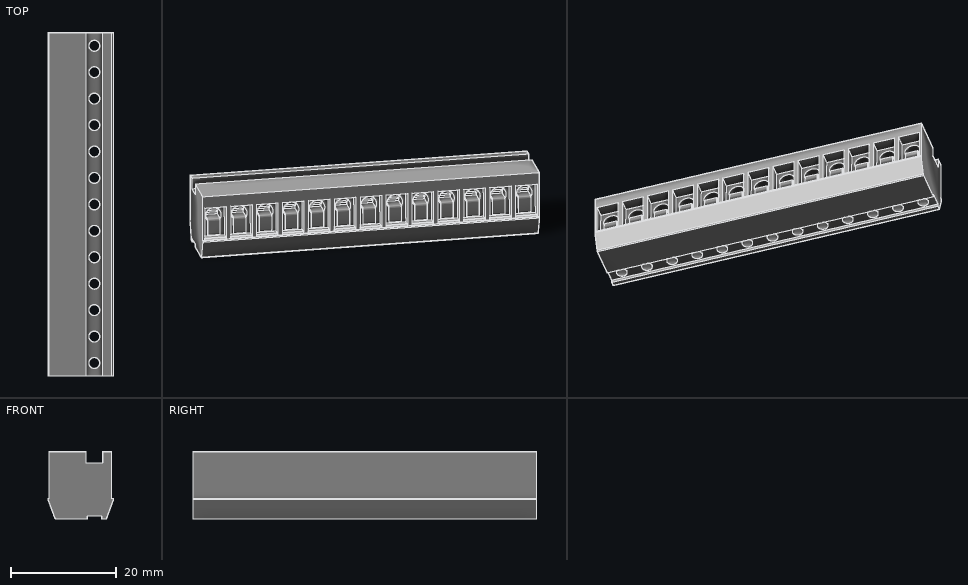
import cadquery as cq
import math

LENGTH = 65.0
WIDTH = 12.4
HEIGHT = 12.8
POLES = 13
PITCH = LENGTH / POLES

LEFT_WALL_X = 0.2
RIGHT_WALL_X = WIDTH - 0.4
SHOULDER_Z = 3.95
LIP_Z = SHOULDER_Z - 0.25
BASE_LEFT_X = 1.5
BASE_BEVEL = 0.2
BASE_RIGHT_X = 11.05
GROOVE_LEFT_X = 7.2
GROOVE_RIGHT_X = 10.35
GROOVE_FLOOR_Z = HEIGHT - 2.15
CHANNEL_LEFT_X = 7.5
CHANNEL_RIGHT_X = 10.15
CHANNEL_DEPTH = 0.6

SCREW_HOLE_DIAMETER = 2.0
SCREW_X = (GROOVE_LEFT_X + GROOVE_RIGHT_X) / 2

WINDOW_WIDTH = 4.15
WINDOW_TOP_Z = 10.45
BACK_WALL_TOP_X = 2.4
BACK_WALL_TILT = 3.0
BACK_WALL_FOOT_Z = 4.55
SILL_END_X = 1.05
SILL_Z = SHOULDER_Z + 0.03
WINDOW_FLOOR_Z = SHOULDER_Z + 0.1

WIRE_HOLE_DIAMETER = 3.0
WIRE_HOLE_Z = 8.1
WIRE_HOLE_DEPTH = 3.25

PLATE_WIDTH = 2.4
PLATE_FRONT_X = 1.75
PLATE_BOTTOM_Z = 4.2
PLATE_TOP_Z = 7.55
PLATE_EDGE_RADIUS = 0.4
PLATE_REAR_X = 5.85
STEP_X = 4.55
STEP_HEIGHT = 0.4


def prism(points, width, center_y):
    """Solid from an XZ outline, centred on center_y."""
    blank = cq.Workplane("XZ").polyline(points).close().extrude(width / 2, both=True)
    return blank.translate((0, center_y, 0))


def back_wall_x(z):
    """X of the leaning back wall at height z."""
    return BACK_WALL_TOP_X - (WINDOW_TOP_Z - z) * math.tan(math.radians(BACK_WALL_TILT))


def body():
    outline = [
        (BASE_LEFT_X, 0),
        (CHANNEL_LEFT_X, 0),
        (CHANNEL_LEFT_X, CHANNEL_DEPTH),
        (CHANNEL_RIGHT_X, CHANNEL_DEPTH),
        (CHANNEL_RIGHT_X, 0),
        (BASE_RIGHT_X, 0),
        (WIDTH, LIP_Z),
        (WIDTH, SHOULDER_Z),
        (RIGHT_WALL_X, SHOULDER_Z),
        (RIGHT_WALL_X, HEIGHT),
        (GROOVE_RIGHT_X, HEIGHT),
        (GROOVE_RIGHT_X, GROOVE_FLOOR_Z),
        (GROOVE_LEFT_X, GROOVE_FLOOR_Z),
        (GROOVE_LEFT_X, HEIGHT),
        (LEFT_WALL_X, HEIGHT),
        (LEFT_WALL_X, SHOULDER_Z),
        (0, SHOULDER_Z),
        (0, LIP_Z),
        (BASE_LEFT_X - BASE_BEVEL, BASE_BEVEL),
    ]
    return prism(outline, LENGTH, LENGTH / 2)


def window(y):
    foot_x = back_wall_x(BACK_WALL_FOOT_Z)
    outline = [
        (0, SILL_Z),
        (SILL_END_X, SILL_Z),
        (SILL_END_X, WINDOW_FLOOR_Z),
        (foot_x, WINDOW_FLOOR_Z),
        (foot_x, BACK_WALL_FOOT_Z),
        (BACK_WALL_TOP_X, WINDOW_TOP_Z),
        (0, WINDOW_TOP_Z),
    ]
    return prism(outline, WINDOW_WIDTH, y)


def wire_hole(y):
    tilt = math.radians(BACK_WALL_TILT)
    mouth = cq.Plane(
        origin=(back_wall_x(WIRE_HOLE_Z), y, WIRE_HOLE_Z),
        xDir=(0, 1, 0),
        normal=(math.cos(tilt), 0, -math.sin(tilt)),
    )
    overlap = WIRE_HOLE_DIAMETER / 4
    barrel = cq.Workplane(mouth).workplane(offset=-overlap).circle(WIRE_HOLE_DIAMETER / 2)
    return barrel.extrude(overlap + WIRE_HOLE_DEPTH)


def contact_plate(y):
    outline = [
        (PLATE_FRONT_X, PLATE_BOTTOM_Z),
        (PLATE_REAR_X, PLATE_BOTTOM_Z),
        (PLATE_REAR_X, PLATE_TOP_Z + STEP_HEIGHT),
        (STEP_X, PLATE_TOP_Z + STEP_HEIGHT),
        (STEP_X, PLATE_TOP_Z),
        (PLATE_FRONT_X, PLATE_TOP_Z),
    ]
    plate = prism(outline, PLATE_WIDTH, y)
    return plate.faces("<X").edges("|Y").fillet(PLATE_EDGE_RADIUS)


def screw_hole(y):
    return cq.Workplane("XY", origin=(SCREW_X, y, 0)).circle(SCREW_HOLE_DIAMETER / 2).extrude(HEIGHT)


result = body()
for pole in range(POLES):
    pole_y = PITCH * (pole + 0.5)
    result = result.cut(window(pole_y))
    result = result.cut(wire_hole(pole_y))
    result = result.union(contact_plate(pole_y))
    result = result.cut(screw_hole(pole_y))